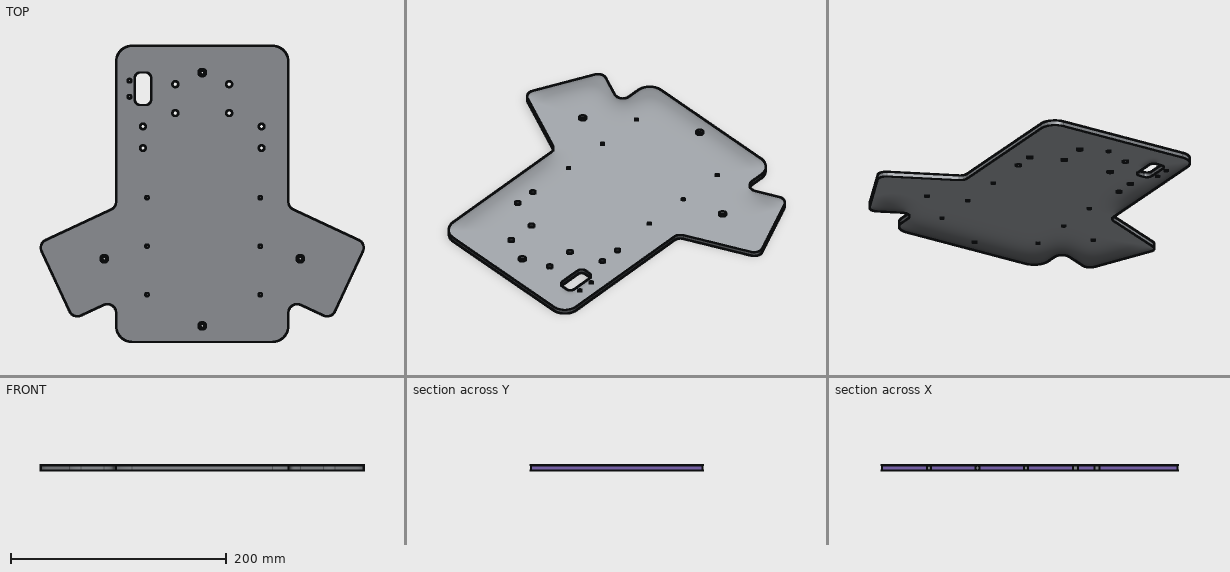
import cadquery as cq
import math

THICKNESS = 5.0
BODY_WIDTH = 160.0
BODY_LENGTH = 275.0
BODY_CORNER_RADIUS = 15.0

ARM_SWEEP = 25.0
ARM_WIDTH = 77.5
ARM_RADIUS = 8.0
ARM_SCREW_X = 90.9
ARM_SCREW_Y = -60.15
ARM_TIP_FROM_SCREW = 49.93

SCREW_DIAMETER = 3.6
SCREW_HEAD_DIAMETER = 7.0
SCREW_HEAD_ANGLE = 90.0
FRONT_SCREW_Y = 112.5
REAR_SCREW_Y = -122.5

INNER_HOLE_DIAMETER = 5.3
INNER_HOLE_X = 25.0
INNER_HOLE_YS = (101.7, 74.9)
OUTER_HOLE_DIAMETER = 5.0
OUTER_HOLE_X = 55.0
OUTER_HOLE_YS = (62.5, 42.5)
STANDOFF_HOLE_DIAMETER = 3.0
STANDOFF_HOLE_X = 52.5
STANDOFF_CENTRE_X = 1.25
STANDOFF_MIDDLE_Y = -48.5
STANDOFF_PITCH = 45.0

WINDOW_X = -55.0
WINDOW_Y = 97.5
WINDOW_WIDTH = 15.0
WINDOW_LENGTH = 30.0
WINDOW_RADIUS = 5.0
WINDOW_HOLE_DIAMETER = 3.2
WINDOW_HOLE_OFFSET = 12.5
WINDOW_HOLE_PITCH = 15.0


def paired(x, ys, centre_x=0.0):
    """Points at distance x on both sides of centre_x, for every y."""
    return [(centre_x + side * x, y) for side in (-1, 1) for y in ys]


def make_body():
    body = cq.Workplane("XY").rect(BODY_WIDTH, BODY_LENGTH).extrude(THICKNESS)
    return body.edges("|Z").fillet(BODY_CORNER_RADIUS)


def make_arm(side):
    """Arm on the -X (side = -1) or +X (side = 1) half, with its root buried in the body."""
    root_from_screw = ARM_SCREW_X / math.cos(math.radians(ARM_SWEEP))
    arm_length = ARM_TIP_FROM_SCREW + root_from_screw
    arm_centre = side * (ARM_TIP_FROM_SCREW - arm_length / 2)
    arm = cq.Workplane("XY").center(arm_centre, 0).rect(arm_length, ARM_WIDTH).extrude(THICKNESS)
    tip_edges = "|Z and >X" if side > 0 else "|Z and <X"
    arm = arm.edges(tip_edges).fillet(ARM_RADIUS)
    arm = arm.rotate((0, 0, 0), (0, 0, 1), -side * ARM_SWEEP)
    return arm.translate((side * ARM_SCREW_X, ARM_SCREW_Y, 0))


def round_arm_roots(plate):
    """Fillet the inside corners on the straight body sides."""
    search_margin = 0.1
    for side in (-1, 1):
        x = side * BODY_WIDTH / 2
        y_limit = BODY_LENGTH / 2 - BODY_CORNER_RADIUS - search_margin
        corner_zone = cq.selectors.BoxSelector(
            (x - search_margin, -y_limit, 0),
            (x + search_margin, y_limit, THICKNESS),
        )
        plate = plate.edges("|Z").edges(corner_zone).fillet(ARM_RADIUS)
    return plate


def drill(plate, points, diameter):
    return plate.faces(">Z").workplane(origin=(0, 0, 0)).pushPoints(points).hole(diameter)


def cut_screw_holes(plate):
    points = [(0, FRONT_SCREW_Y), (0, REAR_SCREW_Y)] + paired(ARM_SCREW_X, [ARM_SCREW_Y])
    top = plate.faces(">Z").workplane(origin=(0, 0, 0)).pushPoints(points)
    return top.cskHole(SCREW_DIAMETER, SCREW_HEAD_DIAMETER, SCREW_HEAD_ANGLE)


def cut_window(plate):
    window = cq.Workplane("XY").rect(WINDOW_WIDTH, WINDOW_LENGTH).extrude(THICKNESS)
    window = window.edges("|Z").fillet(WINDOW_RADIUS)
    plate = plate.cut(window.translate((WINDOW_X, WINDOW_Y, 0)))
    hole_x = WINDOW_X - WINDOW_HOLE_OFFSET
    points = [(hole_x, WINDOW_Y + end * WINDOW_HOLE_PITCH / 2) for end in (-1, 1)]
    return drill(plate, points, WINDOW_HOLE_DIAMETER)


standoff_ys = [STANDOFF_MIDDLE_Y + step * STANDOFF_PITCH for step in (-1, 0, 1)]

plate = make_body().union(make_arm(-1)).union(make_arm(1))
plate = round_arm_roots(plate)
plate = cut_screw_holes(plate)
plate = drill(plate, paired(INNER_HOLE_X, INNER_HOLE_YS), INNER_HOLE_DIAMETER)
plate = drill(plate, paired(OUTER_HOLE_X, OUTER_HOLE_YS), OUTER_HOLE_DIAMETER)
plate = drill(plate, paired(STANDOFF_HOLE_X, standoff_ys, STANDOFF_CENTRE_X), STANDOFF_HOLE_DIAMETER)
result = cut_window(plate)